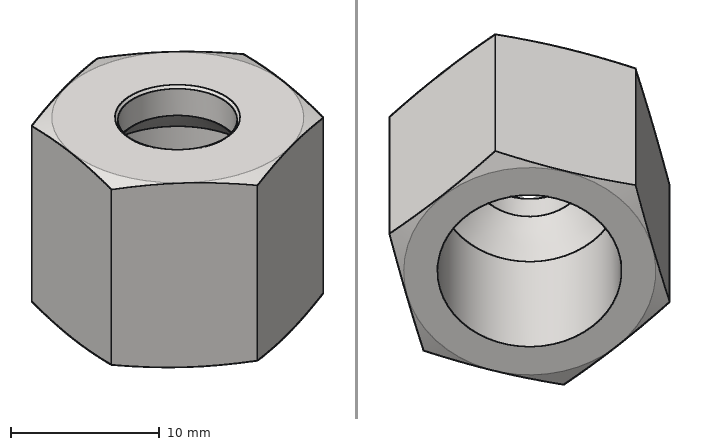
import cadquery as cq
import math

across_corners = 19.63
height = 14.5

face_diameter = 16.92
bevel_angle = 15.0

bore_diameter = 8.0
bore_mouth_chamfer = 0.2
bore_depth = 2.3
socket_diameter = 12.37

corner_radius = across_corners / 2
face_radius = face_diameter / 2
bore_radius = bore_diameter / 2
socket_radius = socket_diameter / 2


def revolve_profile(points):
    """Revolve an outline of (radius, Z) points about the Z axis."""
    return cq.Workplane("XZ").polyline(points).close().revolve(360, (0, 0), (0, 1))


def hexagonal_body():
    """Hexagonal prism with corners on the Y axis, bevelled at both ends."""
    prism = (
        cq.Workplane("XY")
        .polygon(6, across_corners)
        .extrude(height)
        .rotate((0, 0, 0), (0, 0, 1), 90)
    )
    bevel_drop = (corner_radius - face_radius) * math.tan(math.radians(bevel_angle))
    bevel_envelope = revolve_profile([
        (0, 0),
        (face_radius, 0),
        (corner_radius, bevel_drop),
        (corner_radius, height - bevel_drop),
        (face_radius, height),
        (0, height),
    ])
    return prism.intersect(bevel_envelope)


def stepped_opening():
    """Chamfered bore, 45 degree cone and wide socket, from top to bottom."""
    cone_top = height - bore_depth
    cone_bottom = cone_top - (socket_radius - bore_radius)
    return revolve_profile([
        (0, 0),
        (socket_radius, 0),
        (socket_radius, cone_bottom),
        (bore_radius, cone_top),
        (bore_radius, height - bore_mouth_chamfer),
        (bore_radius + bore_mouth_chamfer, height),
        (0, height),
    ])


result = hexagonal_body().cut(stepped_opening())